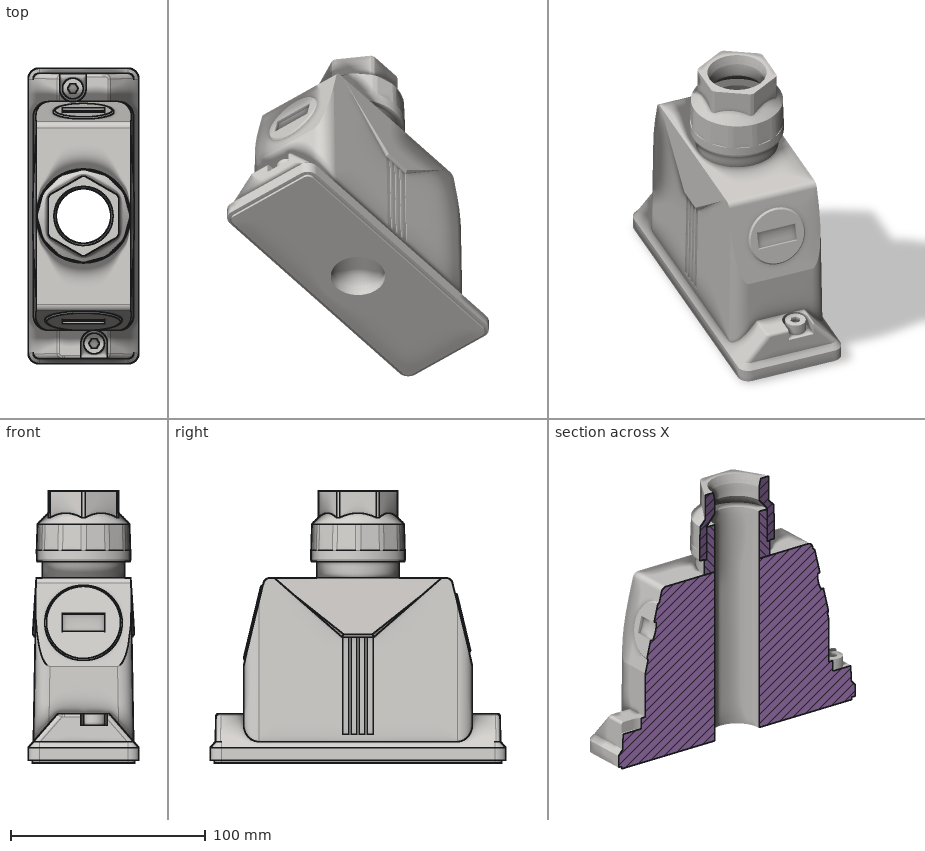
import cadquery as cq
import math


FOOT_LENGTH = 152.0
FOOT_WIDTH = 57.0
FOOT_CORNER_RADIUS = 5.8
RIM_INSET = 2.1
RIM_HEIGHT = 1.4
FLANGE_TOP = 7.9
BEVEL_HEIGHT = 3.0
BEVEL_TOP = FLANGE_TOP + BEVEL_HEIGHT

ROOF_TOP = 25.4
ROOF_TOP_WIDTH = 26.5
ROOF_EDGE_RADIUS = 2.6
ROOF_RIM_RADIUS = 1.5
ROOF_END_LEAN = 0.3

ROOF_SLOPE = (FOOT_WIDTH - ROOF_TOP_WIDTH) / 2 / (ROOF_TOP - FLANGE_TOP)
BEVEL_INSET = BEVEL_HEIGHT * ROOF_SLOPE

SCREW_X = 5.5
SCREW_Y = 65.5
SCREW_RADIUS = 5.3
SCREW_SOCKET_CORNERS = 5.5
SCREW_SOCKET_DEPTH = 3.0
SCREW_POCKET_RADIUS = 6.8
SCREW_POCKET_FLOOR = 19.5

HOOD_TOP = 95.2
HOOD_LENGTH = 117.6
HOOD_TOP_WIDTH = 48.6
SIDE_DRAFT = 1.0
HOOD_CORNER_RADIUS = 7.8
SLOPE_START = 49.9
SLOPE_ANGLE = 13.5
TOP_EDGE_RADIUS = 3.3

PANEL_TOP_WIDTH = 86.0
PANEL_BOTTOM_WIDTH = 16.1
PANEL_BOTTOM = 64.6
PANEL_RISE = 2.0
PANEL_LIP_ANGLE = 50.0

GROOVE_BOTTOM = 14.9
GROOVE_DEPTH = 0.3
GRIP_WIDTH = 15.5
GRIP_RIB_WIDTH = 1.4
GRIP_RIB_PITCH = 4.1
GRIP_RIB_COUNT = 3

PLUG_HEIGHT = 72.0
FRONT_PLUG_RADIUS = 19.9
BACK_PLUG_RADIUS = 15.7
PLUG_RISE = 0.9
PLUG_CHAMFER = 0.88
PLUG_SLOT_LENGTH = 21.6
PLUG_SLOT_WIDTH = 9.5
PLUG_SLOT_EDGE_DEPTH = 1.5
PLUG_SLOT_MID_DEPTH = 2.1

BORE_RADIUS = 14.0
NECK_RADIUS = 21.3
THREAD_RADIUS = 19.6
THREAD_TOP = 121.6
NUT_BOTTOM = 103.5
NUT_TOP = 139.8
NUT_RADIUS = 24.2
NUT_BOTTOM_CHAMFER_HEIGHT = 1.0
NUT_BOTTOM_CHAMFER_INSET = 0.3
GRIP_BAND_BOTTOM = 109.3
GRIP_BAND_TOP = 122.8
GRIP_BAND_TOP_RADIUS = 23.7
GRIP_FLAT_COUNT = 12
GRIP_STRIP_WIDTH = 2.7
NUT_CAVITY_TOP = 127.8
NUT_MOUTH_RADIUS = 15.2
NUT_MOUTH_DEPTH = 4.9
HEX_ACROSS_FLATS = 36.2
HEX_CORNER_RADIUS = 20.4
CONE_ANGLE = 45.0


def tan_deg(angle):
    return math.tan(math.radians(angle))


def rounded_plate(width, length, bottom, height, corner_radius):
    plate = cq.Workplane("XY", origin=(0, 0, bottom)).rect(width, length).extrude(height)
    return plate.edges("|Z").fillet(corner_radius)


def side_wall_x(height):
    """Half the hood's width at the given height."""
    return HOOD_TOP_WIDTH / 2 + (HOOD_TOP - height) * tan_deg(SIDE_DRAFT)


def end_wall_y(height):
    """Half the hood's length at the given height on its sloping ends."""
    return HOOD_LENGTH / 2 - (height - SLOPE_START) * tan_deg(SLOPE_ANGLE)



def make_foot():
    rim = rounded_plate(
        FOOT_WIDTH - 2 * RIM_INSET, FOOT_LENGTH - 2 * RIM_INSET,
        0, RIM_HEIGHT, FOOT_CORNER_RADIUS - RIM_INSET,
    )
    flange = rounded_plate(
        FOOT_WIDTH, FOOT_LENGTH, RIM_HEIGHT, BEVEL_TOP - RIM_HEIGHT, FOOT_CORNER_RADIUS
    )
    flange = flange.faces(">Z").edges().chamfer(BEVEL_HEIGHT, BEVEL_INSET)
    return rim.union(flange)


def make_roof():
    """Roof-shaped block whose ends stand out beyond the hood and carry the screws."""
    half_bottom = FOOT_WIDTH / 2 - BEVEL_INSET
    half_top = ROOF_TOP_WIDTH / 2
    length = FOOT_LENGTH - 2 * BEVEL_INSET
    half_bottom_length = length / 2
    half_top_length = half_bottom_length - ROOF_END_LEAN
    roof = (
        cq.Workplane("XZ", origin=(0, length / 2, 0))
        .polyline([
            (-half_bottom, BEVEL_TOP), (half_bottom, BEVEL_TOP),
            (half_top, ROOF_TOP), (-half_top, ROOF_TOP),
        ])
        .close()
        .extrude(length)
    )
    leaning_ends = (
        cq.Workplane("YZ")
        .polyline([
            (-half_bottom_length, BEVEL_TOP), (half_bottom_length, BEVEL_TOP),
            (half_top_length, ROOF_TOP), (-half_top_length, ROOF_TOP),
        ])
        .close()
        .extrude(half_bottom, both=True)
    )
    roof = roof.intersect(leaning_ends)
    roof = roof.edges("not(|X or |Y)").fillet(ROOF_EDGE_RADIUS)
    return roof.faces(">Z").edges().fillet(ROOF_RIM_RADIUS)


def screw_base(end):
    """Workplane on a pocket floor, on the screw's axis. `end` is -1 or 1 along Y."""
    return cq.Workplane("XY", origin=(-end * SCREW_X, end * SCREW_Y, SCREW_POCKET_FLOOR))


def make_screw_pocket(end):
    """Round-backed pocket, open at the foot's end."""
    depth = ROOF_TOP - SCREW_POCKET_FLOOR
    base = screw_base(end)
    run_out = FOOT_LENGTH / 2 - SCREW_Y
    slot = base.center(0, end * run_out / 2).rect(2 * SCREW_POCKET_RADIUS, run_out).extrude(depth)
    return base.circle(SCREW_POCKET_RADIUS).extrude(depth).union(slot)


def make_screw_head(end):
    head = screw_base(end).circle(SCREW_RADIUS).extrude(ROOF_TOP - SCREW_POCKET_FLOOR)
    return head.faces(">Z").workplane().polygon(6, SCREW_SOCKET_CORNERS).cutBlind(-SCREW_SOCKET_DEPTH)


def make_hood_shell():
    """Drafted block with rounded corners and inward-leaning ends."""
    drafted = (
        cq.Workplane("XZ", origin=(0, HOOD_LENGTH / 2, 0))
        .polyline([
            (-side_wall_x(FLANGE_TOP), FLANGE_TOP), (side_wall_x(FLANGE_TOP), FLANGE_TOP),
            (side_wall_x(HOOD_TOP), HOOD_TOP), (-side_wall_x(HOOD_TOP), HOOD_TOP),
        ])
        .close()
        .extrude(HOOD_LENGTH)
    )
    drafted = drafted.faces("<Y or >Y").edges("not(|X)").fillet(HOOD_CORNER_RADIUS)
    half_length = HOOD_LENGTH / 2
    half_top = end_wall_y(HOOD_TOP)
    side_outline = (
        cq.Workplane("YZ")
        .polyline([
            (-half_length, FLANGE_TOP), (half_length, FLANGE_TOP),
            (half_length, SLOPE_START), (half_top, HOOD_TOP),
            (-half_top, HOOD_TOP), (-half_length, SLOPE_START),
        ])
        .close()
        .extrude(FOOT_WIDTH / 2, both=True)
    )
    side_outline = side_outline.faces(">Z").edges("|X").fillet(TOP_EDGE_RADIUS)
    return drafted.intersect(side_outline)


def make_panel():
    """Raised panel on the +X side, leaning out towards its lower edge."""
    wall_x = side_wall_x(PANEL_BOTTOM)
    outline = [
        (-PANEL_TOP_WIDTH / 2, HOOD_TOP), (PANEL_TOP_WIDTH / 2, HOOD_TOP),
        (PANEL_BOTTOM_WIDTH / 2, PANEL_BOTTOM), (-PANEL_BOTTOM_WIDTH / 2, PANEL_BOTTOM),
    ]
    root = cq.Workplane("YZ").polyline(outline).close().extrude(wall_x)
    lip = (
        cq.Workplane("YZ", origin=(wall_x, 0, 0))
        .polyline(outline).close()
        .extrude(PANEL_RISE, taper=PANEL_LIP_ANGLE)
    )
    top_x = HOOD_TOP_WIDTH / 2
    envelope = (
        cq.Workplane("XZ", origin=(0, HOOD_LENGTH / 2, 0))
        .polyline([
            (0, HOOD_TOP), (top_x, HOOD_TOP),
            (top_x + PANEL_RISE, PANEL_BOTTOM), (0, PANEL_BOTTOM),
        ])
        .close()
        .extrude(HOOD_LENGTH)
    )
    return root.union(lip).intersect(envelope)


def make_grip_grooves():
    """Shallow grooves in the +X wall, following its draft, with ribs left between them."""
    low_x = side_wall_x(GROOVE_BOTTOM)
    high_x = side_wall_x(PANEL_BOTTOM)
    grip_panel = (
        cq.Workplane("XZ", origin=(0, GRIP_WIDTH / 2, 0))
        .polyline([
            (low_x - GROOVE_DEPTH, GROOVE_BOTTOM), (low_x, GROOVE_BOTTOM),
            (high_x, PANEL_BOTTOM), (high_x - GROOVE_DEPTH, PANEL_BOTTOM),
        ])
        .close()
        .extrude(GRIP_WIDTH)
    )
    ribs = (
        cq.Workplane("XY", origin=(low_x, 0, GROOVE_BOTTOM))
        .rarray(1.5, GRIP_RIB_PITCH, 1, GRIP_RIB_COUNT)
        .rect(HOOD_TOP_WIDTH / 4, GRIP_RIB_WIDTH)
        .extrude(PANEL_BOTTOM - GROOVE_BOTTOM)
    )
    return grip_panel.cut(ribs)


def slope_plane(end):
    """Plane on the sloping end wall at the plug's centre, facing outwards."""
    angle = math.radians(SLOPE_ANGLE)
    return cq.Plane(
        origin=(0, end * end_wall_y(PLUG_HEIGHT), PLUG_HEIGHT),
        xDir=(1, 0, 0),
        normal=(0, end * math.cos(angle), math.sin(angle)),
    )


def add_plug(hood, end, radius):
    """Raised chamfered disc on the sloping end wall."""
    plane = slope_plane(end)
    disc = cq.Workplane(plane).circle(radius).extrude(PLUG_RISE)
    outer_face = disc.faces(cq.selectors.DirectionNthSelector(plane.zDir, -1))
    disc = outer_face.edges().chamfer(PLUG_CHAMFER)
    return hood.union(disc)


def make_plug_slot(end):
    """Slot with a shallow arched floor, cut inwards from the face of the plug."""
    slope = slope_plane(end)
    start = slope.toWorldCoords((-PLUG_SLOT_LENGTH / 2, 0, PLUG_RISE))
    section = cq.Plane(origin=start.toTuple(), xDir=slope.yDir, normal=slope.xDir)
    inward = -section.yDir.dot(slope.zDir)
    half_width = PLUG_SLOT_WIDTH / 2
    return (
        cq.Workplane(section)
        .moveTo(-half_width, 0)
        .lineTo(-half_width, inward * PLUG_SLOT_EDGE_DEPTH)
        .threePointArc((0, inward * PLUG_SLOT_MID_DEPTH), (half_width, inward * PLUG_SLOT_EDGE_DEPTH))
        .lineTo(half_width, 0)
        .close()
        .extrude(PLUG_SLOT_LENGTH)
    )


def make_hood():
    hood = make_foot().union(make_roof()).union(make_hood_shell())
    panel = make_panel()
    grooves = make_grip_grooves()
    hood = hood.union(panel).union(panel.mirror("YZ"))
    hood = hood.cut(grooves).cut(grooves.mirror("YZ"))
    for end in (-1, 1):
        hood = hood.cut(make_screw_pocket(end)).union(make_screw_head(end))
    for end, radius in ((-1, FRONT_PLUG_RADIUS), (1, BACK_PLUG_RADIUS)):
        hood = add_plug(hood, end, radius).cut(make_plug_slot(end))
    bore = cq.Workplane("XY").circle(BORE_RADIUS).extrude(HOOD_TOP)
    return hood.cut(bore)



def make_gland_neck():
    """Collar and threaded tube standing on the hood."""
    base = cq.Workplane("XY", origin=(0, 0, HOOD_TOP))
    collar = base.circle(NECK_RADIUS).extrude(NUT_BOTTOM - HOOD_TOP)
    tube = base.circle(THREAD_RADIUS).extrude(THREAD_TOP - HOOD_TOP)
    bore = base.circle(BORE_RADIUS).extrude(THREAD_TOP - HOOD_TOP)
    return collar.union(tube).cut(bore)



def make_nut_ring():
    """Plain ring, tapered grip band and cone under the hexagon."""
    cone_top = GRIP_BAND_TOP + (GRIP_BAND_TOP_RADIUS - BORE_RADIUS) / tan_deg(CONE_ANGLE)
    return (
        cq.Workplane("XZ")
        .polyline([
            (0, NUT_BOTTOM), (NUT_RADIUS - NUT_BOTTOM_CHAMFER_INSET, NUT_BOTTOM),
            (NUT_RADIUS, NUT_BOTTOM + NUT_BOTTOM_CHAMFER_HEIGHT), (NUT_RADIUS, GRIP_BAND_BOTTOM),
            (GRIP_BAND_TOP_RADIUS, GRIP_BAND_TOP), (BORE_RADIUS, cone_top), (0, cone_top),
        ])
        .close()
        .revolve(360, (0, 0, 0), (0, 1, 0))
    )


def make_grip_flats():
    """Ring of material to remove around the grip band, leaving narrow strips between flats."""
    half_sector = math.pi / GRIP_FLAT_COUNT
    half_strip = math.asin(GRIP_STRIP_WIDTH / 2 / GRIP_BAND_TOP_RADIUS)
    flat_fraction = math.cos(half_sector - half_strip)

    def flat_polygon(workplane, band_radius):
        corner_diameter = 2 * band_radius * flat_fraction / math.cos(half_sector)
        return workplane.polygon(GRIP_FLAT_COUNT, corner_diameter)

    height = GRIP_BAND_TOP - GRIP_BAND_BOTTOM
    base = cq.Workplane("XY", origin=(0, 0, GRIP_BAND_BOTTOM))
    core = flat_polygon(base, NUT_RADIUS).workplane(offset=height)
    core = flat_polygon(core, GRIP_BAND_TOP_RADIUS).loft()
    return base.circle(2 * NUT_RADIUS).extrude(height).cut(core)


def make_hexagon():
    height = NUT_TOP - GRIP_BAND_TOP
    base = cq.Workplane("XY", origin=(0, 0, GRIP_BAND_TOP))
    hexagon = base.polygon(6, HEX_ACROSS_FLATS, circumscribed=True).extrude(height)
    return hexagon.intersect(base.circle(HEX_CORNER_RADIUS).extrude(height))


def make_nut_bore():
    """Wide cavity for the neck's thread, then the cable bore opening out at its mouth."""
    return (
        cq.Workplane("XZ")
        .polyline([
            (0, NUT_BOTTOM), (THREAD_RADIUS, NUT_BOTTOM), (THREAD_RADIUS, THREAD_TOP),
            (BORE_RADIUS, NUT_CAVITY_TOP), (BORE_RADIUS, NUT_TOP - NUT_MOUTH_DEPTH),
            (NUT_MOUTH_RADIUS, NUT_TOP), (0, NUT_TOP),
        ])
        .close()
        .revolve(360, (0, 0, 0), (0, 1, 0))
    )


def make_gland_nut():
    return make_nut_ring().cut(make_grip_flats()).union(make_hexagon()).cut(make_nut_bore())


hood = make_hood()
gland_neck = make_gland_neck()
gland_nut = make_gland_nut()

result = cq.Compound.makeCompound([hood.val(), gland_neck.val(), gland_nut.val()])